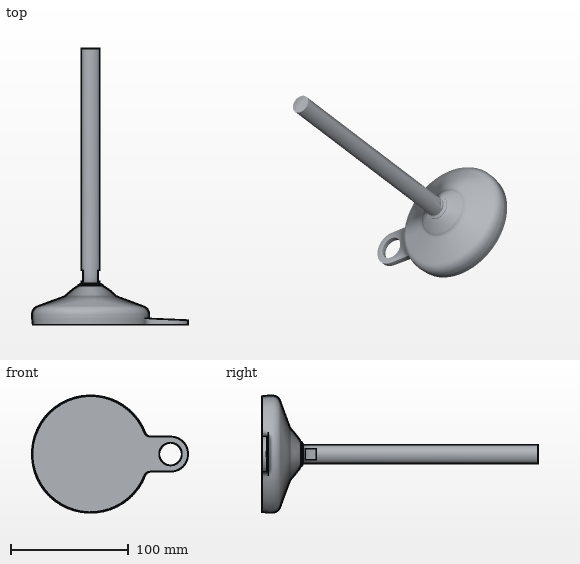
import cadquery as cq
import math

rim_radius = 50.0
sole_radius = 49.3
sole_height = 6.0
rim_height = 8.7
shoulder_radius = 7.5
shoulder_slope = math.radians(20.3)
cone_top_radius = 22.5
waist_arc_radius = 4.0
dome_arc_radius = 45.0
dome_base_radius = 20.6
dome_base_height = 25.6
seat_radius = 10.3
seat_height = 34.0
seat_rim = 0.7

lug_radius = 15.0
lug_offset = 68.0
lug_hole_diameter = 19.0
lug_root_fillet = 5.0
lug_tip_thickness = 4.0
lug_slope = math.radians(2.5)

stud_radius = 8.0
stud_end = 235.0
flange_radius = 10.0
flange_height = 1.3
flat_start = 37.0
flat_length = 9.2
flat_width = 13.0


def shoulder_point(angle):
    """Point (radius, height) on the rounded shoulder, angle measured up from the horizontal."""
    return (
        rim_radius - shoulder_radius + shoulder_radius * math.cos(angle),
        rim_height + shoulder_radius * math.sin(angle),
    )


def make_foot_body():
    tangent_angle = math.pi / 2 - shoulder_slope
    shoulder_top = shoulder_point(tangent_angle)
    cone_rise = (shoulder_top[0] - cone_top_radius) * math.tan(shoulder_slope)
    profile = (
        cq.Workplane("XY")
        .lineTo(sole_radius, 0)
        .lineTo(rim_radius, sole_height)
        .lineTo(rim_radius, rim_height)
        .threePointArc(shoulder_point(tangent_angle / 2), shoulder_top)
        .lineTo(cone_top_radius, shoulder_top[1] + cone_rise)
        .radiusArc((dome_base_radius, dome_base_height), waist_arc_radius)
        .radiusArc((seat_radius, seat_height - seat_rim), -dome_arc_radius)
        .lineTo(seat_radius, seat_height)
        .lineTo(0, seat_height)
        .close()
    )
    return profile.revolve(360, (0, 0, 0), (0, 1, 0))


def make_lug():
    tip = lug_offset + lug_radius
    root = rim_radius - lug_radius
    root_thickness = lug_tip_thickness + (tip - root) * math.tan(lug_slope)
    wedge = (
        cq.Workplane("XY")
        .polyline([(root, 0), (tip, 0), (tip, lug_tip_thickness), (root, root_thickness)])
        .close()
        .extrude(lug_radius, both=True)
    )
    outline = (
        cq.Workplane("XZ")
        .moveTo(root, -lug_radius)
        .lineTo(lug_offset, -lug_radius)
        .threePointArc((tip, 0), (lug_offset, lug_radius))
        .lineTo(root, lug_radius)
        .close()
        .extrude(-root_thickness)
    )
    return wedge.intersect(outline)


def make_foot():
    foot = make_foot_body().union(make_lug())
    root_x = math.sqrt(sole_radius**2 - lug_radius**2)
    for side in (-1, 1):
        corner = (root_x, sole_height / 2, side * lug_radius)
        foot = foot.edges(cq.selectors.NearestToPointSelector(corner)).fillet(lug_root_fillet)
    hole = (
        cq.Workplane("XZ")
        .center(lug_offset, 0)
        .circle(lug_hole_diameter / 2)
        .extrude(-sole_height)
    )
    return foot.cut(hole)


def make_stud():
    flange_top = seat_height + flange_height
    stud = (
        cq.Workplane("XY")
        .moveTo(0, seat_height)
        .lineTo(flange_radius, seat_height)
        .lineTo(stud_radius, flange_top)
        .lineTo(stud_radius, stud_end)
        .lineTo(0, stud_end)
        .close()
        .revolve(360, (0, 0, 0), (0, 1, 0))
    )
    for side in (-1, 1):
        cutter_center = (side * (flat_width + stud_radius) / 2, flat_start + flat_length / 2, 0)
        cutter = cq.Workplane("XY").box(stud_radius, flat_length, 2 * stud_radius).translate(cutter_center)
        stud = stud.cut(cutter)
    return stud


foot = make_foot()
stud = make_stud()
result = cq.Compound.makeCompound([foot.val(), stud.val()])